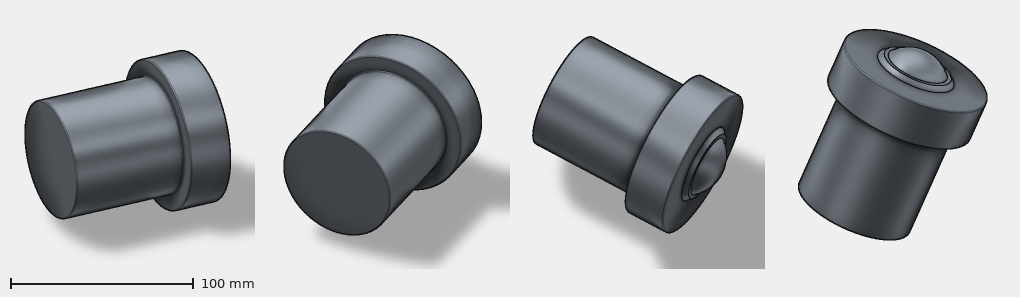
import cadquery as cq
import math

total_length = 100.5
shank_diameter = 66.4
flange_diameter = 85.0
shank_length = 64.8
flange_thickness = 24.3
collar_height = 2.8
collar_base_diameter = 45.4
ball_diameter = 44.4
edge_round = 0.6

shank_radius = shank_diameter / 2
flange_radius = flange_diameter / 2
ball_radius = ball_diameter / 2
flange_top = shank_length + flange_thickness
collar_top = flange_top + collar_height
collar_base_radius = collar_base_diameter / 2
collar_top_radius = collar_base_radius - collar_height
ball_center = total_length - ball_radius


def ball_radius_at(y):
    """Radius of the circle cut from the ball at height y."""
    return math.sqrt(ball_radius**2 - (y - ball_center) ** 2)


ball_exit_radius = ball_radius_at(collar_top)
cap_middle = (collar_top + total_length) / 2

profile = (
    cq.Workplane("XY")
    .lineTo(shank_radius, 0)
    .lineTo(shank_radius, shank_length)
    .lineTo(flange_radius, shank_length)
    .lineTo(flange_radius, flange_top)
    .lineTo(collar_base_radius, flange_top)
    .lineTo(collar_top_radius, collar_top)
    .lineTo(ball_exit_radius, collar_top)
    .threePointArc((ball_radius_at(cap_middle), cap_middle), (0, total_length))
    .close()
)
body = profile.revolve(360, (0, 0, 0), (0, 1, 0))


def round_circle(solid, radius, y):
    """Fillet the circular edge of the given radius at height y."""
    tolerance = 0.1
    corner = radius + tolerance
    region = cq.selectors.BoxSelector(
        (-corner, y - tolerance, -corner),
        (corner, y + tolerance, corner),
        boundingbox=True,
    )
    inner = radius - tolerance
    smaller_circles = cq.selectors.BoxSelector(
        (-inner, y - tolerance, -inner),
        (inner, y + tolerance, inner),
        boundingbox=True,
    )
    return solid.edges(region - smaller_circles).fillet(edge_round)


result = body
for circle_radius, circle_y in (
    (shank_radius, 0),
    (shank_radius, shank_length),
    (flange_radius, shank_length),
    (flange_radius, flange_top),
):
    result = round_circle(result, circle_radius, circle_y)